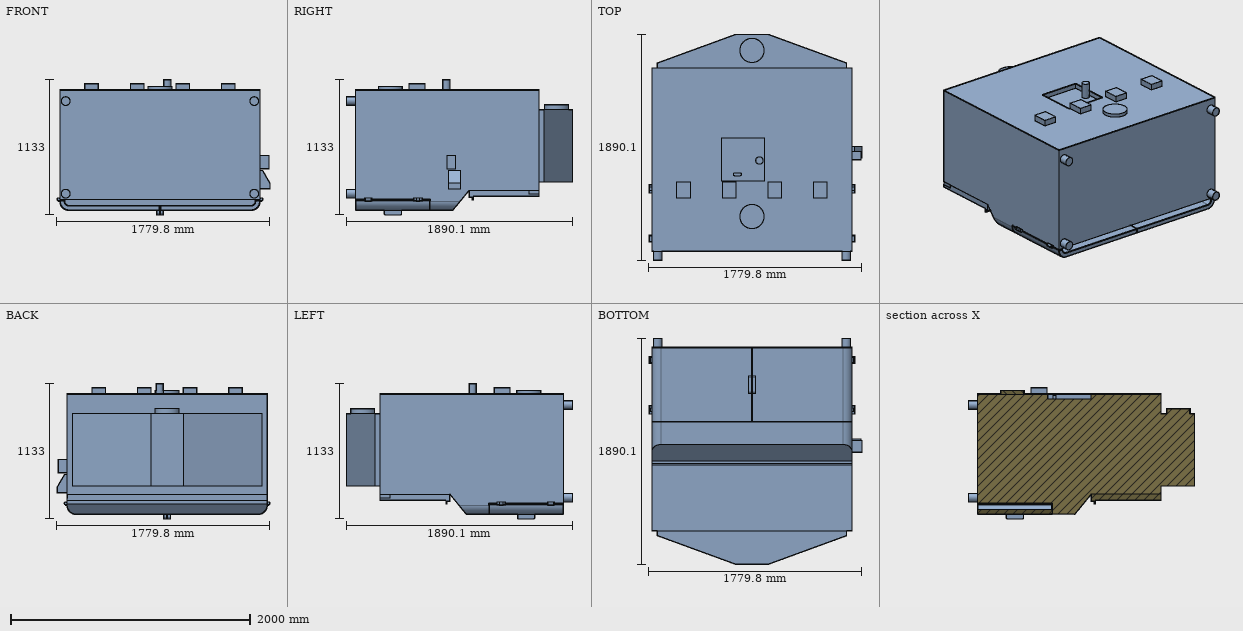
import cadquery as cq
import math


CABINET_WIDTH = 1675.0
CABINET_LENGTH = 1535.0
CABINET_TOP = 1010.0
LID_THICKNESS = 6.0
FRONT_FLOOR_Z = 92.0
REAR_FLOOR_Z = 167.0
SKIRT_FRONT_Y = 624.0
SKIRT_BACK_Y = 813.0
RAMP_TOP_Y = 950.0
HALF_WIDTH = CABINET_WIDTH / 2
SHELL_TOP = CABINET_TOP - LID_THICKNESS

CORNER_RADIUS = 76.0
DOOR_THICKNESS = 42.0
DOOR_TOP = 84.0
DOOR_GAP = 5.0
DOOR_CHAMFER = 5.0
DOOR_LENGTH = SKIRT_FRONT_Y

HANDLE_WIDTH = 26.0
HANDLE_LENGTH = 145.0
HANDLE_DROP = 39.0
HANDLE_CENTRE_Y = 313.0
HANDLE_ROUNDING = 13.0

HINGE_RADIUS = 12.5
HINGE_REACH = 860.0
HINGE_X = HINGE_REACH - HINGE_RADIUS
HINGE_Z = 93.0
HINGE_LEAF_DEPTH = 15.0
HINGES = [(107.0, 60.0, 44.0), (523.0, 72.0, 28.0)]

HOOD_HALF_WIDTH = 792.0
HOOD_FLAT_HALF_WIDTH = 135.0
HOOD_SIDE_DEPTH = 40.0
HOOD_DEPTH = 280.14
HOOD_BOTTOM = 236.0
HOOD_TOP = 843.0

CAP_DIAMETER = 202.0
LID_CAP_Y = 292.0
LID_CAP_HEIGHT = 28.0
HOOD_CAP_Y = 1680.0
HOOD_CAP_HEIGHT = 42.0

PIPE_DIAMETER = 73.0
PIPE_LENGTH = 75.0
PIPE_X = 788.0
PIPE_HEIGHTS = (140.0, 914.0)

BOX_COUNT = 4
BOX_PITCH = 381.0
BOX_WIDTH = 115.0
BOX_LENGTH = 135.0
BOX_HEIGHT = 50.0
BOX_Y = 514.0

WELL_SIZE = 358.0
WELL_CENTRE = (-74.0, 768.0)
WELL_DEPTH = 45.0
WELL_FLOOR = CABINET_TOP - WELL_DEPTH
POST_DIAMETER = 62.0
POST_CENTRE = (62.0, 760.0)
POST_TOP = 1093.99
GRIP_LENGTH = 67.0
GRIP_WIDTH = 25.0
GRIP_HEIGHT = 30.0
GRIP_CENTRE = (-122.0, 645.0)

BLOCK_REACH = 912.0
BLOCK_LENGTH = 72.0
BLOCK_HEIGHT = 114.0
BLOCK_FRONT_Y = 765.0
BLOCK_BOTTOM = 347.0
WEDGE_REACH = 919.79
WEDGE_TOP_REACH = 858.0
WEDGE_FRONT_Y = 779.0
WEDGE_LENGTH = 100.0
WEDGE_BOTTOM = 180.0
WEDGE_NOSE_TOP = 228.0
WEDGE_TOP = 335.0

HATCH_BOTTOM = 118.0
HATCH_LIP_BOTTOM = 110.0
HATCH_LIP_LENGTH = 35.0
HATCH_HOOK_BOTTOM = 86.0
HATCH_HOOK_LENGTH = 12.0
HATCH_NOTCH_LENGTH = 84.0
HATCH_NOTCH_HEIGHT = 28.0
HATCH_NOTCH_DEPTH = 3.0


def block(x_range, y_range, z_range):
    """Box between the given limits."""
    size = [high - low for low, high in (x_range, y_range, z_range)]
    corner = (x_range[0], y_range[0], z_range[0])
    return cq.Workplane("XY").box(*size, centered=False).translate(corner)


def disc(centre, diameter, bottom, top):
    """Upright cylinder between two heights."""
    plane = cq.Workplane("XY", origin=(*centre, bottom))
    return plane.circle(diameter / 2).extrude(top - bottom)


def along_y(profile, start_y, length):
    """Extrude a closed XZ profile in +Y from start_y."""
    return profile.extrude(-length).translate((0, start_y, 0))


def mirrored(shape):
    """The same shape on the opposite X side."""
    return shape.mirror("YZ")


def knuckle(start_y, length):
    """Length of hinge barrel on the +X side."""
    profile = cq.Workplane("XZ").center(HINGE_X, HINGE_Z).circle(HINGE_RADIUS)
    return along_y(profile, start_y, length)


def door_knuckle(centre_y, middle):
    """Middle knuckle with the leaf that joins it to the door."""
    start_y = centre_y - middle / 2
    leaf = block(
        (HALF_WIDTH - HINGE_LEAF_DEPTH, HINGE_X),
        (start_y, start_y + middle),
        (CORNER_RADIUS, HINGE_Z),
    )
    return knuckle(start_y, middle).union(leaf)


def cabinet_shell():
    """Cabinet with a raised rear floor, a ramp and a rounded skirt."""
    shell = (
        cq.Workplane("YZ")
        .moveTo(0, FRONT_FLOOR_Z)
        .lineTo(0, SHELL_TOP)
        .lineTo(CABINET_LENGTH, SHELL_TOP)
        .lineTo(CABINET_LENGTH, REAR_FLOOR_Z)
        .lineTo(RAMP_TOP_Y, REAR_FLOOR_Z)
        .lineTo(SKIRT_BACK_Y, 0)
        .lineTo(SKIRT_FRONT_Y, 0)
        .lineTo(SKIRT_FRONT_Y, FRONT_FLOOR_Z)
        .close()
        .extrude(HALF_WIDTH, both=True)
    )
    return shell.faces("<Z").edges("|Y").fillet(CORNER_RADIUS)


def hood():
    """Tapered hood on the rear wall, with its round cap."""
    shoulder_y = CABINET_LENGTH + HOOD_SIDE_DEPTH
    back_y = CABINET_LENGTH + HOOD_DEPTH
    body = (
        cq.Workplane("XY", origin=(0, 0, HOOD_BOTTOM))
        .moveTo(-HOOD_HALF_WIDTH, CABINET_LENGTH)
        .lineTo(HOOD_HALF_WIDTH, CABINET_LENGTH)
        .lineTo(HOOD_HALF_WIDTH, shoulder_y)
        .lineTo(HOOD_FLAT_HALF_WIDTH, back_y)
        .lineTo(-HOOD_FLAT_HALF_WIDTH, back_y)
        .lineTo(-HOOD_HALF_WIDTH, shoulder_y)
        .close()
        .extrude(HOOD_TOP - HOOD_BOTTOM)
    )
    cap = disc((0, HOOD_CAP_Y), CAP_DIAMETER, HOOD_TOP, HOOD_TOP + HOOD_CAP_HEIGHT)
    return body.union(cap)


def well(bottom):
    """Square opening in the top, cut down to the given height."""
    centre_x, centre_y = WELL_CENTRE
    half = WELL_SIZE / 2
    return block(
        (centre_x - half, centre_x + half),
        (centre_y - half, centre_y + half),
        (bottom, CABINET_TOP),
    )


def well_fittings():
    """Post and grip that stand on the floor of the well."""
    post = disc(POST_CENTRE, POST_DIAMETER, WELL_FLOOR, POST_TOP)
    grip = (
        cq.Workplane("XY", origin=(*GRIP_CENTRE, WELL_FLOOR))
        .slot2D(GRIP_LENGTH, GRIP_WIDTH)
        .extrude(GRIP_HEIGHT)
    )
    return post, grip


def pipe_stubs():
    """Four stubs near the corners of the front wall."""
    places = [(x, z) for x in (-PIPE_X, PIPE_X) for z in PIPE_HEIGHTS]
    return cq.Workplane("XZ").pushPoints(places).circle(PIPE_DIAMETER / 2).extrude(PIPE_LENGTH)


def wall_block():
    return block(
        (HALF_WIDTH, BLOCK_REACH),
        (BLOCK_FRONT_Y, BLOCK_FRONT_Y + BLOCK_LENGTH),
        (BLOCK_BOTTOM, BLOCK_BOTTOM + BLOCK_HEIGHT),
    )


def wall_wedge():
    profile = (
        cq.Workplane("XZ")
        .moveTo(HALF_WIDTH, WEDGE_BOTTOM)
        .lineTo(WEDGE_REACH, WEDGE_BOTTOM)
        .lineTo(WEDGE_REACH, WEDGE_NOSE_TOP)
        .lineTo(WEDGE_TOP_REACH, WEDGE_TOP)
        .lineTo(HALF_WIDTH, WEDGE_TOP)
        .close()
    )
    return along_y(profile, WEDGE_FRONT_Y, WEDGE_LENGTH)


def make_cabinet():
    cabinet = cabinet_shell().cut(well(WELL_FLOOR))
    for fitting in (hood(), *well_fittings(), pipe_stubs(), wall_block(), wall_wedge()):
        cabinet = cabinet.union(fitting)
    for centre_y, length, middle in HINGES:
        outer = (length - middle) / 2
        for start_y in (centre_y - length / 2, centre_y + middle / 2):
            end_knuckle = knuckle(start_y, outer)
            cabinet = cabinet.union(end_knuckle).union(mirrored(end_knuckle))
        recess = door_knuckle(centre_y, middle)
        cabinet = cabinet.cut(recess).cut(mirrored(recess))
    return cabinet


def make_lid():
    """Thin plate over the cabinet with its cap and row of boxes."""
    lid = block((-HALF_WIDTH, HALF_WIDTH), (0, CABINET_LENGTH), (SHELL_TOP, CABINET_TOP))
    lid = lid.cut(well(SHELL_TOP))
    lid = lid.union(disc((0, LID_CAP_Y), CAP_DIAMETER, CABINET_TOP, CABINET_TOP + LID_CAP_HEIGHT))
    for index in range(BOX_COUNT):
        centre_x = (index - (BOX_COUNT - 1) / 2) * BOX_PITCH
        lid = lid.union(block(
            (centre_x - BOX_WIDTH / 2, centre_x + BOX_WIDTH / 2),
            (BOX_Y - BOX_LENGTH / 2, BOX_Y + BOX_LENGTH / 2),
            (CABINET_TOP, CABINET_TOP + BOX_HEIGHT),
        ))
    return lid


def door_panel():
    """Bent door panel on the +X side, chamfered around both ends."""
    inner_radius = CORNER_RADIUS - DOOR_THICKNESS
    bend_x = HALF_WIDTH - CORNER_RADIUS
    diagonal = math.sqrt(0.5)
    outer_mid = (bend_x + CORNER_RADIUS * diagonal, CORNER_RADIUS * (1 - diagonal))
    inner_mid = (bend_x + inner_radius * diagonal, CORNER_RADIUS - inner_radius * diagonal)
    profile = (
        cq.Workplane("XZ")
        .moveTo(DOOR_GAP / 2, 0)
        .lineTo(bend_x, 0)
        .threePointArc(outer_mid, (HALF_WIDTH, CORNER_RADIUS))
        .lineTo(HALF_WIDTH, DOOR_TOP)
        .lineTo(HALF_WIDTH - DOOR_THICKNESS, DOOR_TOP)
        .lineTo(HALF_WIDTH - DOOR_THICKNESS, CORNER_RADIUS)
        .threePointArc(inner_mid, (bend_x, DOOR_THICKNESS))
        .lineTo(DOOR_GAP / 2, DOOR_THICKNESS)
        .close()
    )
    panel = along_y(profile, 0, DOOR_LENGTH)
    return panel.faces("<Y or >Y").edges().chamfer(DOOR_CHAMFER)


def door_handle():
    """Handle below the free edge of the door, rounded at both lower ends."""
    handle = block(
        (DOOR_GAP / 2, DOOR_GAP / 2 + HANDLE_WIDTH),
        (HANDLE_CENTRE_Y - HANDLE_LENGTH / 2, HANDLE_CENTRE_Y + HANDLE_LENGTH / 2),
        (-HANDLE_DROP, 0),
    )
    return handle.faces("<Z").edges("|X").fillet(HANDLE_ROUNDING)


def make_right_door():
    door = door_panel().union(door_handle())
    for centre_y, _, middle in HINGES:
        door = door.union(door_knuckle(centre_y, middle))
    return door


def make_hatch():
    """Panel under the raised rear floor, with a hooked lip at its front end."""
    full_width = (-HALF_WIDTH, HALF_WIDTH)
    lip_back_y = RAMP_TOP_Y + HATCH_LIP_LENGTH
    panel = block(full_width, (RAMP_TOP_Y, CABINET_LENGTH), (HATCH_BOTTOM, REAR_FLOOR_Z))
    lip = block(full_width, (RAMP_TOP_Y, lip_back_y), (HATCH_LIP_BOTTOM, HATCH_BOTTOM))
    hook = block(
        full_width,
        (lip_back_y - HATCH_HOOK_LENGTH, lip_back_y),
        (HATCH_HOOK_BOTTOM, HATCH_BOTTOM),
    )
    notch = block(
        (HALF_WIDTH - HATCH_NOTCH_DEPTH, HALF_WIDTH),
        (CABINET_LENGTH - HATCH_NOTCH_LENGTH, CABINET_LENGTH),
        (REAR_FLOOR_Z - HATCH_NOTCH_HEIGHT, REAR_FLOOR_Z),
    )
    return panel.union(lip).union(hook).cut(notch).cut(mirrored(notch))


cabinet = make_cabinet()
lid = make_lid()
right_door = make_right_door()
left_door = mirrored(right_door)
hatch = make_hatch()

result = cq.Compound.makeCompound([
    cabinet.solids().val(),
    lid.solids().val(),
    right_door.solids().val(),
    left_door.solids().val(),
    hatch.solids().val(),
])